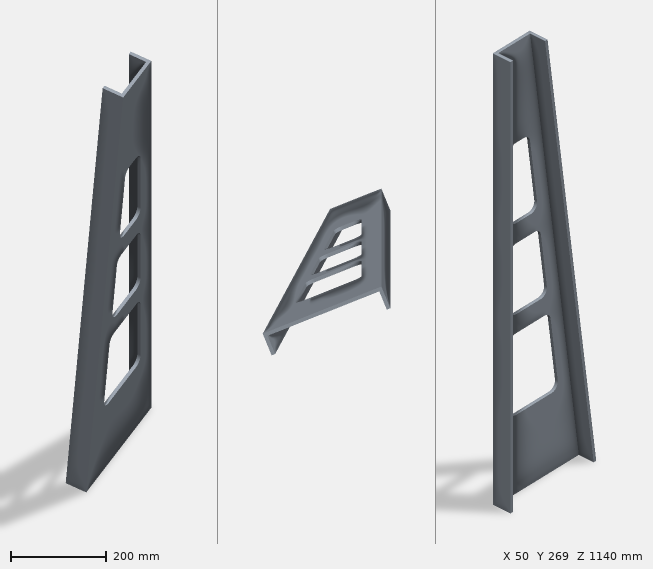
import cadquery as cq

height = 1140.0
flange_width = 50.0
base_depth = 269.0
top_depth = 116.0
wall = 8.0

window_margin = 45.0
window_radius = 19.0
window_spans = [(198.0, 405.0), (452.0, 631.0), (683.0, 885.0)]

back_y = base_depth / 2
web_outer_x = flange_width / 2


def front_y(z):
    """Position of the sloping front face at height z."""
    depth = base_depth + (top_depth - base_depth) * z / height
    return back_y - depth


def tapered_block(bottom, top, margin, thickness):
    """Block against the web's outer face, inset from the back and front faces."""
    outline = [
        (back_y - margin, bottom),
        (front_y(bottom) + margin, bottom),
        (front_y(top) + margin, top),
        (back_y - margin, top),
    ]
    return (
        cq.Workplane("YZ", origin=(web_outer_x, 0, 0))
        .polyline(outline)
        .close()
        .extrude(-thickness)
    )


def window(bottom, top):
    """Cutter for one window, with its four corners rounded."""
    return tapered_block(bottom, top, window_margin, wall).edges("|X").fillet(window_radius)


cavity = tapered_block(0, height, wall, flange_width).translate((-wall, 0, 0))
result = tapered_block(0, height, 0, flange_width).cut(cavity)

for span_bottom, span_top in window_spans:
    result = result.cut(window(span_bottom, span_top))